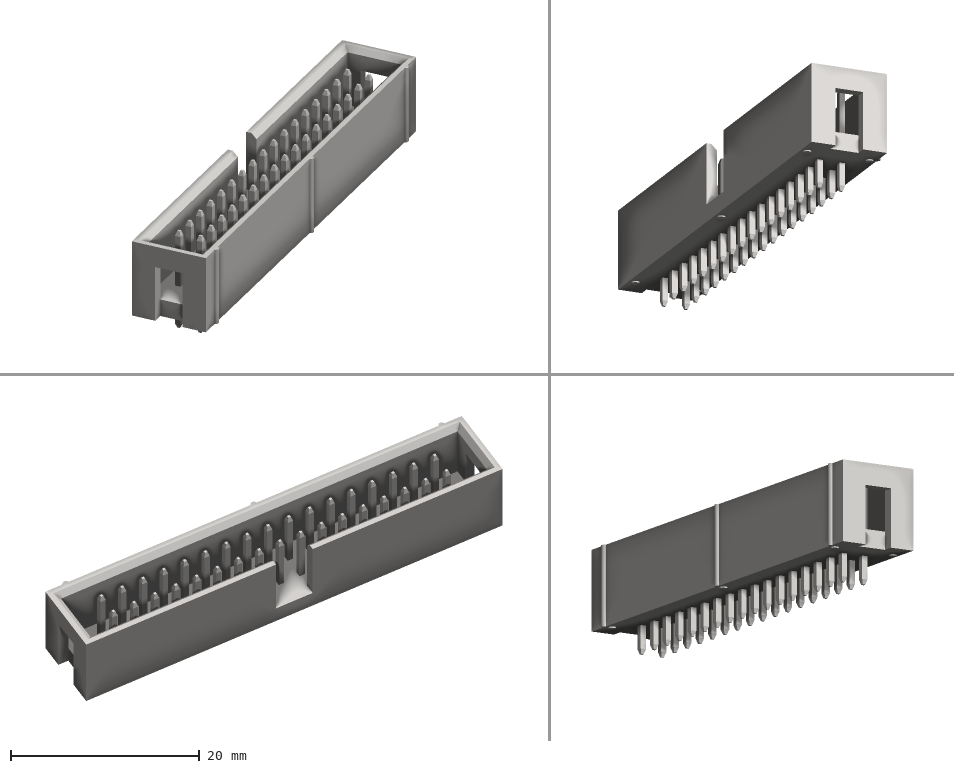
import cadquery as cq

length = 50.85
width = 8.75
height = 8.9
floor_height = 2.0
wall = 1.2
rim_chamfer = 0.6

end_slot_width = 3.2
end_slot_top = 6.45
key_width = 4.45

pin_pitch = 2.55
pins_per_row = 17
pin_size = 0.65
pin_tail = 3.1
pin_top = 8.5
tip_height = 0.55
tip_size = 0.3

foot_diameter = 0.85
foot_height = 0.15
foot_edge_distance = 0.75
rib_diameter = 0.7
rib_projection = 0.3
rib_end_distance = 2.5
foot_end_distance = 2.9


def stations(end_distance):
    """Y places of a feature at both ends and at the middle."""
    station_y = length / 2 - end_distance
    return (-station_y, 0, station_y)


def box(x_size, y_size, z_bottom, z_top):
    """Box centred on X = Y = 0 between two heights."""
    block = cq.Workplane("XY").workplane(offset=z_bottom)
    return block.rect(x_size, y_size).extrude(z_top - z_bottom)


def make_housing():
    """Box with a cavity whose mouth is bevelled outward at the rim."""
    cavity_width = width - 2 * wall
    cavity_length = length - 2 * wall
    cavity = box(cavity_width, cavity_length, floor_height, height)
    bevel = (
        cq.Workplane("XY").workplane(offset=height - rim_chamfer)
        .rect(cavity_width, cavity_length)
        .workplane(offset=rim_chamfer)
        .rect(cavity_width + 2 * rim_chamfer, cavity_length + 2 * rim_chamfer)
        .loft(ruled=True)
    )
    return box(width, length, 0, height).cut(cavity).cut(bevel)


def end_slot(side):
    """Slot through one end wall, open at the underside."""
    slot = box(end_slot_width, wall, 0, end_slot_top)
    return slot.translate((0, side * (length - wall) / 2, 0))


def key_notch():
    """Polarising notch through the -X wall, from the rim down to the floor."""
    return box(wall, key_width, floor_height, height).translate((-(width - wall) / 2, 0, 0))


def pin_tip():
    """Tapered tip standing on Z = 0."""
    tip = cq.Workplane("XY").rect(pin_size, pin_size)
    return tip.workplane(offset=tip_height).rect(tip_size, tip_size).loft(ruled=True)


def make_pin():
    """Square pin through the floor, tapered at both ends."""
    shank_top = pin_top - tip_height
    shank_bottom = tip_height - pin_tail
    upper_tip = pin_tip().translate((0, 0, shank_top))
    lower_tip = pin_tip().mirror("XY").translate((0, 0, shank_bottom))
    return box(pin_size, pin_size, shank_bottom, shank_top).union(upper_tip).union(lower_tip)


def make_feet():
    foot_x = width / 2 - foot_edge_distance
    points = [(x, y) for x in (-foot_x, foot_x) for y in stations(foot_end_distance)]
    return cq.Workplane("XY").pushPoints(points).circle(foot_diameter / 2).extrude(-foot_height)


def make_ribs():
    """Upright cylinders partly sunk into the +X wall."""
    rib_x = width / 2 + rib_projection - rib_diameter / 2
    points = [(rib_x, y) for y in stations(rib_end_distance)]
    return cq.Workplane("XY").pushPoints(points).circle(rib_diameter / 2).extrude(height)


housing = make_housing().union(make_ribs())
housing = housing.cut(end_slot(-1)).cut(end_slot(1)).cut(key_notch())
housing = housing.union(make_feet())

pin = make_pin()
for row_x in (-pin_pitch / 2, pin_pitch / 2):
    for index in range(pins_per_row):
        pin_y = (index - (pins_per_row - 1) / 2) * pin_pitch
        housing = housing.union(pin.translate((row_x, pin_y, 0)))

result = housing